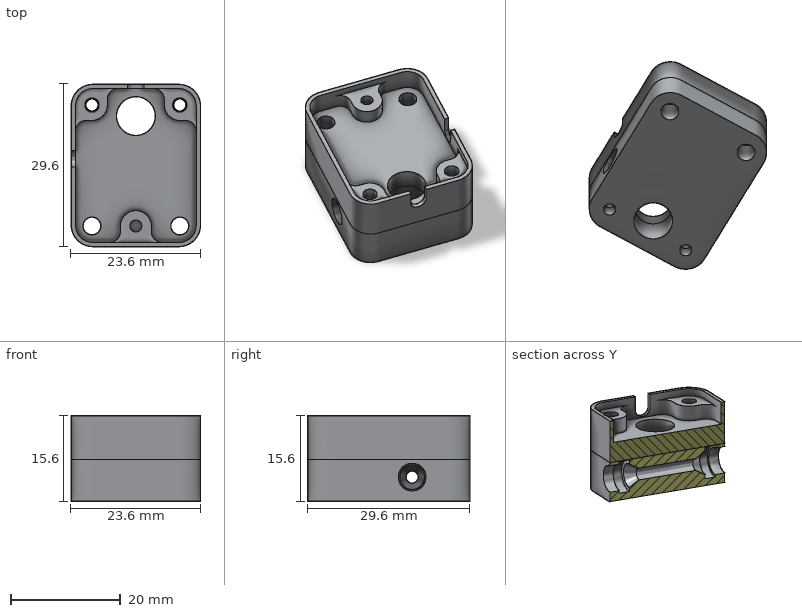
import cadquery as cq

length_x = 23.6
width_y = 29.6
base_height = 7.6
tray_height = 8.0
total_height = base_height + tray_height
corner_radius = 4.0

wall = 0.8
floor_thickness = 3.8
floor_z = base_height + floor_thickness
cavity_x = length_x / 2 - wall
cavity_y = width_y / 2 - wall

post_height = 2.8
post_radius = 2.8
post_fillet = 2.0
post_top_z = floor_z + post_height

hole_x = 8.0
hole_y = 11.0
mount_hole_d = 3.2
screw_clearance_d = 2.6
pilot_hole_d = 2.15
shaft_hole_d = 7.02
shaft_hole_y = 9.0

slot_width = 3.0
slot_depth = 4.0
side_slot_y = 1.2

channel_y = 4.23
channel_z = 4.4
channel_d = 2.15
socket_mouth_d = 5.03
socket_lip = 2.0
socket_pocket_d = 6.0
socket_depth = 4.0
funnel_d = 4.5
funnel_length = 2.0

insert_d = 3.6
insert_length = 4.0
insert_chamfer = (screw_clearance_d - pilot_hole_d) / 2


def rounded_block(size_x, size_y, radius, z_bottom, height):
    """Upright block with rounded vertical edges, centred on the Z axis."""
    block = cq.Workplane("XY", origin=(0, 0, z_bottom)).rect(size_x, size_y).extrude(height)
    return block.edges("|Z").fillet(radius)


def upright_cylinder(x, y, diameter, z_bottom, z_top):
    plane = cq.Workplane("XY", origin=(x, y, z_bottom))
    return plane.circle(diameter / 2).extrude(z_top - z_bottom)


def middle_post():
    """Post at the -Y wall, blended into the wall by a fillet on each side."""
    foot_x = post_radius + post_fillet
    outline = (
        cq.Workplane("XY", origin=(0, 0, floor_z))
        .moveTo(-foot_x, -cavity_y - wall / 2)
        .lineTo(-foot_x, -cavity_y)
        .radiusArc((-post_radius, -cavity_y + post_fillet), -post_fillet)
        .lineTo(-post_radius, -hole_y)
        .radiusArc((post_radius, -hole_y), post_radius)
        .lineTo(post_radius, -cavity_y + post_fillet)
        .radiusArc((foot_x, -cavity_y), -post_fillet)
        .lineTo(foot_x, -cavity_y - wall / 2)
        .close()
    )
    return outline.extrude(post_height)


def corner_post():
    """Post filling the +X +Y cavity corner, blended into both walls."""
    side_x = hole_x - post_radius
    side_y = hole_y - post_radius
    outline = (
        cq.Workplane("XY", origin=(0, 0, floor_z))
        .moveTo(side_x - post_fillet, cavity_y + wall / 2)
        .lineTo(side_x - post_fillet, cavity_y)
        .radiusArc((side_x, cavity_y - post_fillet), post_fillet)
        .lineTo(side_x, hole_y)
        .radiusArc((hole_x, side_y), -post_radius)
        .lineTo(cavity_x - post_fillet, side_y)
        .radiusArc((cavity_x, side_y - post_fillet), post_fillet)
        .lineTo(cavity_x + wall / 2, side_y - post_fillet)
        .lineTo(cavity_x + wall / 2, cavity_y + wall / 2)
        .close()
    )
    return outline.extrude(post_height)


def tray_cavity():
    """Space above the tray floor, less the three posts."""
    cavity = rounded_block(
        2 * cavity_x, 2 * cavity_y, corner_radius - wall, floor_z, total_height - floor_z
    )
    right_post = corner_post()
    left_post = right_post.mirror("YZ")
    return cavity.cut(middle_post()).cut(right_post).cut(left_post)


def slot_cutter():
    """Round-bottomed slot running along Y, as long as two walls and centred on the origin in Y."""
    radius = slot_width / 2
    arc_z = total_height - slot_depth + radius
    profile = (
        cq.Workplane("XZ")
        .moveTo(-radius, total_height)
        .lineTo(-radius, arc_z)
        .threePointArc((0, arc_z - radius), (radius, arc_z))
        .lineTo(radius, total_height)
        .close()
    )
    return profile.extrude(wall, both=True)


def socket_cutter():
    """Socket at the -X end: narrow mouth, wider pocket, then a funnel down to the channel."""
    face_x = -length_x / 2
    lip_x = face_x + socket_lip
    pocket_x = face_x + socket_depth
    funnel_x = pocket_x + funnel_length
    half_profile = (
        cq.Workplane("XY")
        .moveTo(face_x, 0)
        .lineTo(face_x, socket_mouth_d / 2)
        .lineTo(lip_x, socket_mouth_d / 2)
        .lineTo(lip_x, socket_pocket_d / 2)
        .lineTo(pocket_x, socket_pocket_d / 2)
        .lineTo(pocket_x, funnel_d / 2)
        .lineTo(funnel_x, channel_d / 2)
        .lineTo(funnel_x, 0)
        .close()
    )
    socket = half_profile.revolve(360, (0, 0, 0), (1, 0, 0))
    return socket.translate((0, channel_y, channel_z))


def build_tray():
    tray = rounded_block(length_x, width_y, corner_radius, base_height, tray_height)
    tray = tray.cut(tray_cavity())
    tray = tray.cut(upright_cylinder(0, shaft_hole_y, shaft_hole_d, base_height, floor_z))
    tray = tray.cut(upright_cylinder(0, -hole_y, pilot_hole_d, floor_z, post_top_z))
    for x in (-hole_x, hole_x):
        tray = tray.cut(upright_cylinder(x, -hole_y, mount_hole_d, base_height, floor_z))
        tray = tray.cut(upright_cylinder(x, hole_y, screw_clearance_d, base_height, post_top_z))
    back_slot = slot_cutter().translate((0, width_y / 2, 0))
    side_slot = slot_cutter().rotate((0, 0, 0), (0, 0, 1), 90)
    side_slot = side_slot.translate((-length_x / 2, side_slot_y, 0))
    return tray.cut(back_slot).cut(side_slot)


def build_base():
    base = rounded_block(length_x, width_y, corner_radius, 0, base_height)
    base = base.cut(upright_cylinder(0, shaft_hole_y, shaft_hole_d, 0, base_height))
    for x in (-hole_x, hole_x):
        base = base.cut(upright_cylinder(x, -hole_y, mount_hole_d, 0, base_height))
        base = base.cut(upright_cylinder(x, hole_y, pilot_hole_d, 0, base_height))
        insert_seat_z = base_height - insert_length
        base = base.cut(upright_cylinder(x, hole_y, insert_d, insert_seat_z, base_height))
    channel = cq.Workplane("YZ").center(channel_y, channel_z).circle(channel_d / 2)
    base = base.cut(channel.extrude(length_x / 2, both=True))
    socket = socket_cutter()
    return base.cut(socket).cut(socket.mirror("YZ"))


def build_insert(x):
    """Sleeve flush with the top of the base, its bore chamfered at the top."""
    sleeve = upright_cylinder(x, hole_y, insert_d, base_height - insert_length, base_height)
    sleeve = sleeve.faces(">Z").workplane(origin=(x, hole_y, base_height)).hole(pilot_hole_d)
    bore_rim = cq.selectors.RadiusNthSelector(0)
    return sleeve.faces(">Z").edges(bore_rim).chamfer(insert_chamfer)


base = build_base().solids()
tray = build_tray().solids()
inserts = [build_insert(x).solids() for x in (-hole_x, hole_x)]

result = cq.Compound.makeCompound([base.val(), tray.val(), *[insert.val() for insert in inserts]])